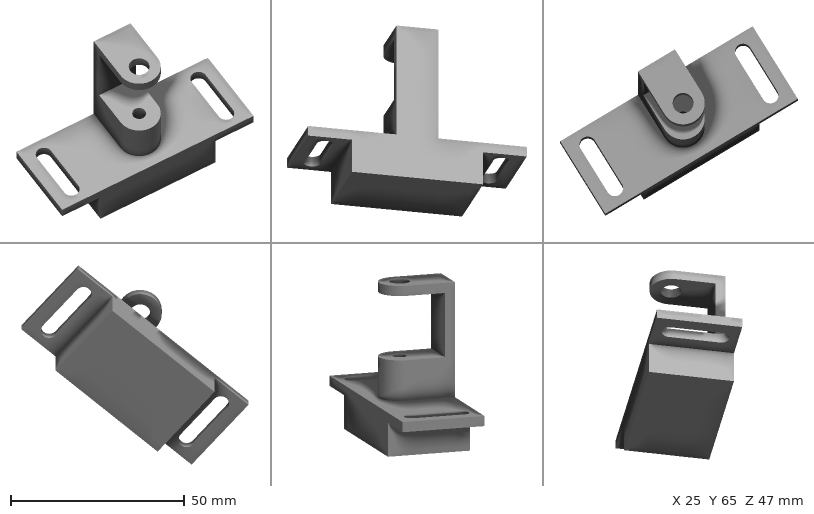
import cadquery as cq
import math

BASE_LENGTH_X = 25.0
PLATE_WIDTH_Y = 65.0
PLATE_THICKNESS = 3.0
BLOCK_WIDTH_Y = 39.0
BLOCK_HEIGHT = 10.0
PLATE_TOP = BLOCK_HEIGHT + PLATE_THICKNESS

SLOT_TRAVEL = 15.0
SLOT_WIDTH = 4.75
SLOT_LENGTH = SLOT_TRAVEL + SLOT_WIDTH
SLOT_OFFSET_Y = 26.25

TOTAL_HEIGHT = 47.0
BRACKET_REACH = 21.0
BRACKET_WIDTH = 12.5
BOSS_HEIGHT = 12.0
POST_THICKNESS = 3.0
ARM_THICKNESS = 3.0
NOSE_RADIUS = BRACKET_WIDTH / 2
BOSS_TOP = PLATE_TOP + BOSS_HEIGHT
ARM_BOTTOM = TOTAL_HEIGHT - ARM_THICKNESS

PIN_X = BRACKET_REACH - NOSE_RADIUS
ARM_HOLE_DIAMETER = 6.0
BOSS_HOLE_DIAMETER = 4.0
BOSS_HOLE_DEPTH = 10.0
DRILL_POINT_ANGLE = 118.0


def box_on(z_bottom, length_x, width_y, height):
    """Box starting at X = 0, centred on Y, resting on z_bottom."""
    box = cq.Workplane("XY").box(length_x, width_y, height, centered=(False, True, False))
    return box.translate((0, 0, z_bottom))


def tongue(z_bottom, height):
    """Bracket outline with a full-round nose on its +X end."""
    return (
        cq.Workplane("XY", origin=(0, 0, z_bottom))
        .moveTo(0, -NOSE_RADIUS)
        .lineTo(PIN_X, -NOSE_RADIUS)
        .threePointArc((BRACKET_REACH, 0), (PIN_X, NOSE_RADIUS))
        .lineTo(0, NOSE_RADIUS)
        .close()
        .extrude(height)
    )


def make_base():
    """Block and plate with the two through slots."""
    block = box_on(0, BASE_LENGTH_X, BLOCK_WIDTH_Y, BLOCK_HEIGHT)
    plate = box_on(BLOCK_HEIGHT, BASE_LENGTH_X, PLATE_WIDTH_Y, PLATE_THICKNESS)
    slot_centers = [(BASE_LENGTH_X / 2, side * SLOT_OFFSET_Y) for side in (-1, 1)]
    slots = (
        cq.Workplane("XY", origin=(0, 0, BLOCK_HEIGHT))
        .pushPoints(slot_centers)
        .slot2D(SLOT_LENGTH, SLOT_WIDTH)
        .extrude(PLATE_THICKNESS)
    )
    return block.union(plate.cut(slots))


def make_bracket():
    """Boss, post and arm forming a C-shaped bracket."""
    boss = tongue(PLATE_TOP, BOSS_HEIGHT)
    post = box_on(PLATE_TOP, POST_THICKNESS, BRACKET_WIDTH, TOTAL_HEIGHT - PLATE_TOP)
    arm = tongue(ARM_BOTTOM, ARM_THICKNESS)
    return boss.union(post).union(arm)


def make_arm_hole():
    """Clearance hole through the arm."""
    return (
        cq.Workplane("XY", origin=(PIN_X, 0, ARM_BOTTOM))
        .circle(ARM_HOLE_DIAMETER / 2)
        .extrude(ARM_THICKNESS)
    )


def make_boss_hole():
    """Blind drilled hole with a conical bottom, revolved about the pin axis."""
    radius = BOSS_HOLE_DIAMETER / 2
    shoulder_z = BOSS_TOP - BOSS_HOLE_DEPTH
    tip_z = shoulder_z - radius / math.tan(math.radians(DRILL_POINT_ANGLE / 2))
    return (
        cq.Workplane("XZ", origin=(PIN_X, 0, 0))
        .moveTo(0, tip_z)
        .lineTo(radius, shoulder_z)
        .lineTo(radius, BOSS_TOP)
        .lineTo(0, BOSS_TOP)
        .close()
        .revolve(360, (0, 0), (0, 1))
    )


result = make_base().union(make_bracket()).cut(make_arm_hole()).cut(make_boss_hole())